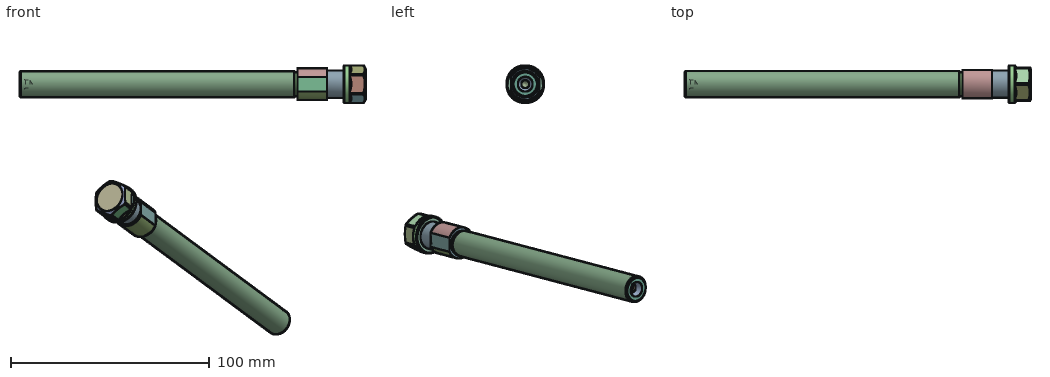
import cadquery as cq
import math

length = 174.5
tube_end = 138.5
collar_start = 140.0
collar_end = 155.0
flange_start = 163.2
flange_end = 166.1

tube_diameter = 13.3
tube_chamfer = 0.7
tube_end_face_diameter = 12.7
center_hole_diameter = 7.5
pilot_diameter = 4.0
countersink_angle = 60.0
pilot_depth = 5.2
drill_point_angle = 118.0

shoulder_diameter = 12.2
collar_diameter = 16.0
collar_flats = 14.3
neck_diameter = 14.0
flange_diameter = 19.0
flange_chamfer = 0.5
hex_flats = 17.0
end_face_diameter = 14.8
hex_chamfer_angle = 30.0
bevel_angle = 45.0


def revolve_about_x(points):
    """Revolve a closed (x, radius) outline about the X axis."""
    return cq.Workplane("XY").polyline(points).close().revolve(360, (0, 0, 0), (1, 0, 0))


def make_center_hole():
    """Countersunk pilot hole with a conical bottom, in the free tube end."""
    mouth_radius = center_hole_diameter / 2
    pilot_radius = pilot_diameter / 2
    cone_depth = (mouth_radius - pilot_radius) / math.tan(math.radians(countersink_angle / 2))
    tip_depth = pilot_radius / math.tan(math.radians(drill_point_angle / 2))
    return revolve_about_x([
        (0, 0),
        (0, mouth_radius),
        (cone_depth, pilot_radius),
        (pilot_depth, pilot_radius),
        (pilot_depth + tip_depth, 0),
    ])


def make_tube():
    """Long rod, chamfered at both ends."""
    radius = tube_diameter / 2
    end_face_radius = tube_end_face_diameter / 2
    rod = revolve_about_x([
        (0, 0),
        (0, radius - tube_chamfer),
        (tube_chamfer, radius),
        (tube_end - (radius - end_face_radius), radius),
        (tube_end, end_face_radius),
        (tube_end, 0),
    ])
    return rod.cut(make_center_hole())


def make_cylinder(start, end, diameter):
    """Plain cylinder between two stations on the X axis."""
    return cq.Workplane("YZ", origin=(start, 0, 0)).circle(diameter / 2).extrude(end - start)


def make_collar():
    """Cylinder with two wrench flats facing -Y and +Y."""
    cylinder = make_cylinder(collar_start, collar_end, collar_diameter)
    flats = (
        cq.Workplane("YZ", origin=(collar_start, 0, 0))
        .rect(collar_flats, collar_diameter)
        .extrude(collar_end - collar_start)
    )
    return cylinder.intersect(flats)


def make_hex_head():
    """Hexagon with rounded corners, a chamfered end and a bevelled flange behind it."""
    radius = flange_diameter / 2
    end_radius = end_face_diameter / 2
    hex_inradius = hex_flats / 2
    end_chamfer = (radius - end_radius) * math.tan(math.radians(hex_chamfer_angle))
    bevel = (radius - hex_inradius) * math.tan(math.radians(bevel_angle))

    hexagon = (
        cq.Workplane("YZ", origin=(flange_end, 0, 0))
        .transformed(rotate=(0, 0, 90))
        .polygon(6, hex_flats / math.cos(math.pi / 6))
        .extrude(length - flange_end)
    )
    flange = revolve_about_x([
        (flange_start, 0),
        (flange_start, radius - flange_chamfer),
        (flange_start + flange_chamfer, radius),
        (flange_end, radius),
        (flange_end + bevel, hex_inradius),
        (flange_end + bevel, 0),
    ])
    end_limit = revolve_about_x([
        (flange_end, 0),
        (flange_end, radius),
        (length - end_chamfer, radius),
        (length, end_radius),
        (length, 0),
    ])
    return flange.union(hexagon.intersect(end_limit))


def make_fitting():
    """Shoulder, wrench collar, plain neck and flanged hexagon in one piece."""
    shoulder = make_cylinder(tube_end, collar_start, shoulder_diameter)
    neck = make_cylinder(collar_end, flange_start, neck_diameter)
    return shoulder.union(make_collar()).union(neck).union(make_hex_head())


tube = make_tube()
fitting = make_fitting()
result = cq.Compound.makeCompound([tube.val(), fitting.val()])